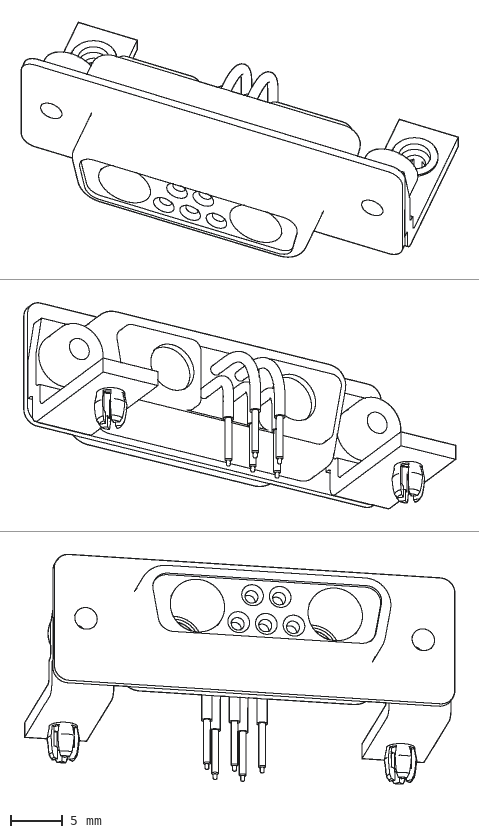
import cadquery as cq
import math


flange_width = 39.52
flange_height = 12.9
flange_thickness = 0.75
flange_corner = 1.45
flange_hole_radius = 1.1
mount_spacing = 33.28

side_slope = math.radians(10)
mating_half_width = 12.17
mating_height = 8.15
mating_corner = 2.6
mating_depth = 6.32
mating_edge = 1.1
mating_root_fillet = 0.5
insert_recess = 0.47
rear_half_width = 13.28
rear_height = 11.45
rear_corner = 1.98
rear_depth = 4.9
rear_edge = 1.2
insulator_half_width = 11.75
insulator_height = 7.2
insulator_corner = 1.03
insulator_floor = 5.2
insulator_depth = 6.32
insulator_edge = 0.2
center_gap = 7.05

power_spacing = 13.6
power_radius = 2.7
power_rear_radius = 2.4
power_lip = 0.8
pin_pitch = 2.73
row_spacing = 2.85
cavity_mouth_radius = 1.05
cavity_radius = 0.65
cavity_cone_depth = 0.5
cavity_depth = 1.98

pin_radius = 0.5
tail_radius = 0.335
nub_radius = 0.2
nub_rounding = 0.15
tail_chamfer = 0.1
tail_start_z = -6.13
tail_end_z = -10.65
pin_tip_z = -11.15
lower_tail_y = 10.1
lower_bend_radius = 1.98
upper_bend_radius = 5.25

bracket_width = 6.13
bracket_top_width = 4.85
bracket_thickness = 1.5
bracket_top_z = 4.05
bracket_foot_z = -7.27
bracket_end_y = 15.3
bracket_jog = 0.83
jog_front_z = -4.1
jog_rear_z = -3.45
jog_fillet = 0.35
bend_outer_radius = 1.03
bend_inner_radius = 0.47
nut_radius = 2.745
nut_end_y = 5.37
nut_edge = 0.25

lock_y = 11.42
lock_rim_radius = 2.3
lock_rim_height = 0.2
lock_rim_z = bracket_foot_z + bracket_thickness + lock_rim_height
lock_mouth_radius = 1.55
lock_mouth_depth = 0.85
lock_seat_depth = 0.3
lock_bore_radius = 1.05
lock_slot_width = 0.8
lock_neck_radius = 1.4
lock_neck_z = -7.45
lock_bulge_radius = 1.6
lock_bulge_z = -8.55
lock_hook_z = -9.4
lock_taper_radius = 1.35
lock_taper_z = -10.2
lock_tip_radius = 1.085
lock_tip_z = -10.6


def xz_plane(y):
    """Sketch plane at the given y: local x is +X, local y is +Z and the normal is -Y."""
    return cq.Workplane("XZ", origin=(0, y, 0))


def extrude_y(sketch_at, y_start, y_end):
    """Extrude the outline drawn by sketch_at towards +Y from y_start to y_end."""
    return sketch_at(xz_plane(y_start)).extrude(y_start - y_end)


def cylinder_y(x, z, radius, y_start, y_end):
    return extrude_y(lambda plane: plane.center(x, z).circle(radius), y_start, y_end)


def d_body(half_width, height, corner, y_start, y_end):
    """D-shaped prism, wider at the top; half_width is measured at mid height."""
    half_height = height / 2
    shift = half_height * math.tan(side_slope)
    top = half_width + shift
    bottom = half_width - shift
    outline = [(-top, half_height), (top, half_height), (bottom, -half_height), (-bottom, -half_height)]
    body = extrude_y(lambda plane: plane.polyline(outline).close(), y_start, y_end)
    return body.edges("|Y").fillet(corner)


def make_flange():
    flange = extrude_y(lambda plane: plane.rect(flange_width, flange_height), 0, flange_thickness)
    return flange.edges("|Y").fillet(flange_corner)


def make_mating_shell(flange):
    shell = d_body(mating_half_width, mating_height, mating_corner, -mating_depth, 0)
    shell = shell.faces("<Y").edges().fillet(mating_edge)
    opening = d_body(
        mating_half_width - mating_edge / math.cos(side_slope),
        mating_height - 2 * mating_edge,
        mating_corner - mating_edge,
        -mating_depth,
        insert_recess - mating_depth,
    )
    joined = flange.union(shell)
    reach = mating_root_fillet / 2
    root_zone = cq.selectors.BoxSelector(
        (-mating_half_width - mating_corner, -reach, -mating_height / 2 - reach),
        (mating_half_width + mating_corner, reach, mating_height / 2 + reach),
    )
    return joined.edges(root_zone).fillet(mating_root_fillet).cut(opening)


def make_rear_shell():
    shell = d_body(rear_half_width, rear_height, rear_corner, 0, rear_depth)
    return shell.faces(">Y").edges().fillet(rear_edge)


def make_insulator():
    """Rear insulator: a thin D-shaped floor carrying one raised block at each end."""
    size = (insulator_half_width, insulator_height, insulator_corner)
    floor = d_body(*size, 0, insulator_floor)
    blocks = d_body(*size, 0, insulator_depth)
    gap = cq.Workplane("XY").box(center_gap, 2 * insulator_depth, insulator_height)
    blocks = blocks.cut(gap)
    inner_edges = cq.selectors.BoxSelector(
        (-center_gap, 0, -insulator_height), (center_gap, insulator_depth, insulator_height)
    )
    blocks = blocks.edges("|Y").edges(inner_edges).fillet(insulator_corner)
    blocks = blocks.faces(">Y").edges().fillet(insulator_edge)
    return floor.union(blocks)


def signal_positions():
    """Column and row of each signal contact: two above, three below."""
    upper = [(column * pin_pitch, row_spacing / 2) for column in (-0.5, 0.5)]
    lower = [(column * pin_pitch, -row_spacing / 2) for column in (-1, 0, 1)]
    return upper + lower


def signal_cavity(x, z):
    """Blind hole with a conical mouth in the mating face."""
    mouth_y = insert_recess - mating_depth
    profile = [
        (0, mouth_y),
        (cavity_mouth_radius, mouth_y),
        (cavity_radius, mouth_y + cavity_cone_depth),
        (cavity_radius, mouth_y + cavity_depth),
        (0, mouth_y + cavity_depth),
    ]
    cavity = cq.Workplane("XY").polyline(profile).close().revolve(360, (0, 0), (0, 1))
    return cavity.translate((x, 0, z))


def power_cavity(x):
    """Through hole for a power contact, narrowed by a lip at the rear."""
    lip_y = insulator_depth - power_lip
    wide = cylinder_y(x, 0, power_radius, -mating_depth, lip_y)
    return wide.union(cylinder_y(x, 0, power_rear_radius, -mating_depth, insulator_depth))


def solder_pin(x, z):
    """Bent round pin with a thinner tail ending in a small nub."""
    upper_row = z > 0
    bend = upper_bend_radius if upper_row else lower_bend_radius
    tail_y = lower_tail_y + (row_spacing if upper_row else 0)
    diagonal = bend * math.sqrt(0.5)
    path = (
        cq.Workplane("YZ", origin=(x, 0, 0))
        .moveTo(rear_depth, z)
        .lineTo(tail_y - bend, z)
        .threePointArc((tail_y - bend + diagonal, z - bend + diagonal), (tail_y, z - bend))
        .lineTo(tail_y, tail_start_z)
    )
    pin = xz_plane(rear_depth).center(x, z).circle(pin_radius).sweep(path)
    tail = cq.Workplane("XY", origin=(x, tail_y, tail_start_z)).circle(tail_radius)
    tail = tail.extrude(tail_end_z - tail_start_z)
    tail = tail.faces("<Z").chamfer(tail_chamfer)
    nub = cq.Workplane("XY", origin=(x, tail_y, tail_end_z)).circle(nub_radius)
    nub = nub.extrude(pin_tip_z - tail_end_z).faces("<Z").edges().fillet(nub_rounding)
    return pin.union(tail).union(nub)


def make_bracket(x):
    """L-shaped bracket with a jog in its upright leg, and a round nut behind the flange."""
    upper_front = flange_thickness
    lower_front = upper_front + bracket_jog
    upper_rear = upper_front + bracket_thickness
    lower_rear = lower_front + bracket_thickness
    foot_top_z = bracket_foot_z + bracket_thickness
    profile = [
        (upper_front, bracket_top_z),
        (upper_rear, bracket_top_z),
        (upper_rear, jog_rear_z),
        (lower_rear, jog_rear_z),
        (lower_rear, foot_top_z),
        (bracket_end_y, foot_top_z),
        (bracket_end_y, bracket_foot_z),
        (lower_front, bracket_foot_z),
        (lower_front, jog_front_z),
        (upper_front, jog_front_z),
    ]
    bracket = cq.Workplane("YZ").polyline(profile).close().extrude(bracket_width / 2, both=True)

    def round_edge(body, y, z, radius):
        return body.edges(cq.selectors.NearestToPointSelector((0, y, z))).fillet(radius)

    bracket = round_edge(bracket, upper_rear, jog_rear_z, jog_fillet)
    bracket = round_edge(bracket, lower_rear, jog_rear_z, jog_fillet)
    bracket = round_edge(bracket, lower_front, jog_front_z, jog_fillet)
    bracket = round_edge(bracket, lower_rear, foot_top_z, bend_inner_radius)
    bracket = round_edge(bracket, lower_front, bracket_foot_z, bend_outer_radius)

    half_width = bracket_width / 2
    half_top = bracket_top_width / 2
    leg_outline = [
        (-half_width, bracket_foot_z),
        (half_width, bracket_foot_z),
        (half_width, 0),
        (half_top, bracket_top_z),
        (-half_top, bracket_top_z),
        (-half_width, 0),
    ]
    envelope = extrude_y(lambda plane: plane.polyline(leg_outline).close(), 0, bracket_end_y)
    nut = cylinder_y(0, 0, nut_radius, flange_thickness, nut_end_y).faces(">Y").edges().fillet(nut_edge)
    return bracket.intersect(envelope).union(nut).translate((x, 0, 0))


def make_board_lock():
    """Hollow snap-in peg, split into four fingers that hook inward at the tip."""
    mid_lower_z = (lock_bulge_z + lock_taper_z) / 2
    mid_lower_radius = lock_bulge_radius - (lock_bulge_radius - lock_taper_radius) / 3
    return (
        cq.Workplane("XZ")
        .moveTo(0, lock_rim_z)
        .lineTo(lock_rim_radius, lock_rim_z)
        .lineTo(lock_rim_radius, bracket_foot_z)
        .lineTo(lock_neck_radius, bracket_foot_z)
        .lineTo(lock_neck_radius, lock_neck_z)
        .lineTo(lock_bulge_radius, lock_bulge_z)
        .threePointArc((mid_lower_radius, mid_lower_z), (lock_taper_radius, lock_taper_z))
        .lineTo(lock_tip_radius, lock_tip_z)
        .lineTo(0, lock_tip_z)
        .close()
        .revolve(360, (0, 0), (0, 1))
    )


def board_lock_opening():
    """Stepped bore of the peg and the two diagonal slots that part its fingers."""
    seat_z = lock_rim_z - lock_mouth_depth
    profile = [
        (0, lock_rim_z),
        (lock_mouth_radius, lock_rim_z),
        (lock_mouth_radius, seat_z),
        (lock_bore_radius, seat_z - lock_seat_depth),
        (lock_bore_radius, lock_hook_z),
        (0, lock_hook_z),
    ]
    opening = cq.Workplane("XZ").polyline(profile).close().revolve(360, (0, 0), (0, 1))
    slot = cq.Workplane("XY", origin=(0, 0, lock_neck_z))
    slot = slot.rect(4 * lock_bulge_radius, lock_slot_width).extrude(lock_tip_z - lock_neck_z)
    for angle in (45, -45):
        opening = opening.union(slot.rotate((0, 0, 0), (0, 0, 1), angle))
    return opening


result = make_mating_shell(make_flange()).union(make_rear_shell()).union(make_insulator())
for x, z in signal_positions():
    result = result.cut(signal_cavity(x, z)).union(solder_pin(x, z))
for side in (-1, 1):
    result = result.cut(power_cavity(side * power_spacing / 2))

for side in (-1, 1):
    mount_x = side * mount_spacing / 2
    lock_position = (mount_x, lock_y, 0)
    result = result.union(make_bracket(mount_x)).union(make_board_lock().translate(lock_position))
    result = result.cut(board_lock_opening().translate(lock_position))
    result = result.cut(cylinder_y(mount_x, 0, flange_hole_radius, 0, nut_end_y))